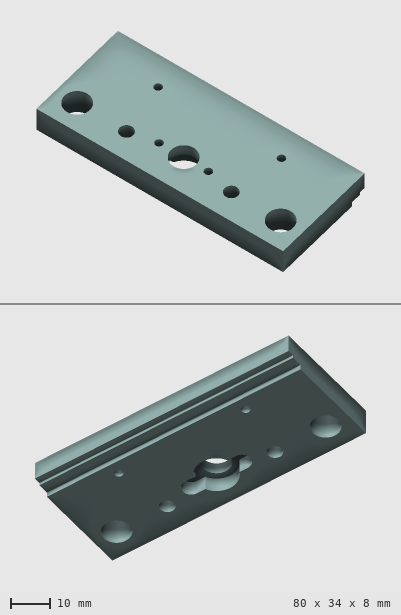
import cadquery as cq

length = 80
width = 34.0
height = 8
middle = length / 2

outer_step_depth = 1.9
outer_step_height = 2.4
inner_step_depth = 5.2
inner_step_height = 1.5

front_row_y = 8
mount_diameter = 8.2
mount_spacing = 66.0
screw_diameter = 4.3
screw_spacing = 34.0

center_row_y = 10.0
center_diameter = 8.2
pin_diameter = 2.5
pin_spacing = 16

back_row_y = width - 9.0
back_pin_spacing = 40

web_thickness = 3.5
pocket_depth = height - web_thickness
recess_diameter = 12
slot_width = 5.3


def stepped_plate():
    """Extrude the stepped YZ side profile along the length."""
    return (
        cq.Workplane("YZ")
        .moveTo(0, 0)
        .lineTo(width - inner_step_depth, 0)
        .lineTo(width - inner_step_depth, inner_step_height)
        .lineTo(width - outer_step_depth, inner_step_height)
        .lineTo(width - outer_step_depth, outer_step_height)
        .lineTo(width, outer_step_height)
        .lineTo(width, height)
        .lineTo(0, height)
        .close()
        .extrude(length)
    )


def vertical_holes(diameter, points):
    """Return full-height cylinders for cutting holes at the given points."""
    return cq.Workplane("XY").pushPoints(points).circle(diameter / 2).extrude(height)


def hole_pair(diameter, spacing, y):
    """Return cutters for two holes placed symmetrically about the middle."""
    points = [(middle - spacing / 2, y), (middle + spacing / 2, y)]
    return vertical_holes(diameter, points)


def underside_pocket():
    """Return the cutter for a round recess crossed by a slot over the two pin holes."""
    center = cq.Workplane("XY").center(middle, center_row_y)
    recess = center.circle(recess_diameter / 2).extrude(pocket_depth)
    slot = center.slot2D(pin_spacing + slot_width, slot_width).extrude(pocket_depth)
    return recess.union(slot)


result = (
    stepped_plate()
    .cut(hole_pair(mount_diameter, mount_spacing, front_row_y))
    .cut(hole_pair(screw_diameter, screw_spacing, front_row_y))
    .cut(hole_pair(pin_diameter, pin_spacing, center_row_y))
    .cut(hole_pair(pin_diameter, back_pin_spacing, back_row_y))
    .cut(vertical_holes(center_diameter, [(middle, center_row_y)]))
    .cut(underside_pocket())
)